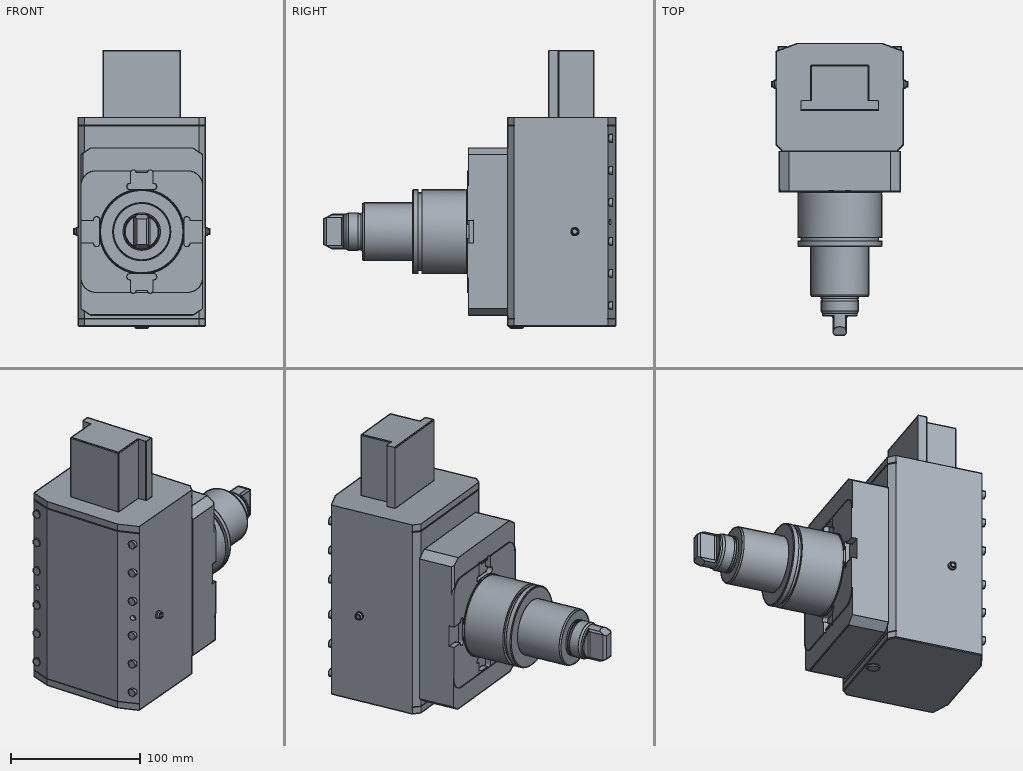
import cadquery as cq
import math


housing_width = 98.5
housing_depth = 83.6
housing_top = 88.4
housing_bottom = -73.5
front_chamfer = 5.0
back_chamfer_x = 16.3
back_chamfer_y = 6.0
bottom_edge_break = 0.7
cap_thickness = 6.0
joint_depth = 0.2
top_joint_height = 0.7
bottom_joint_height = 0.2

block_top = 140.3
block_front = 31.6
flange_width = 59.7
flange_thickness = 8.0
stem_width = 45.2
stem_depth = 27.3
block_edge_break = 0.7

plate_width = 94.0
plate_height = 129.7
plate_thickness = 30.5
plate_chamfer_x = 7.7
plate_chamfer_z = 5.2
plate_edge_break = 0.7
side_bevel = 1.5
pad_thickness = 0.7
pad_corner_radius = 11.3

keyway_half_width = 8.7
keyway_inner = 32.5
keyway_depth = 4.5
inner_relief_radius = 2.37
inner_relief_offset = 9.3
closed_keyway_outer = 45.7
outer_relief_radius = 2.1

recess_diameter = 66.0
recess_depth = 1.1

body_diameter = 65.0
relief_diameter = 64.6
groove_diameter = 60.3
nose_diameter = 45.0
collar_diameter = 29.0
neck_diameter = 27.0
base_ring_end = 31.9
base_relief_end = 32.8
body_start = 33.7
groove_start = 66.5
groove_end = 69.4
body_end = 73.7
nose_end = 112.3
collar_ring_end = 113.7
collar_start = 115.7
collar_end = 123.5
pilot_start = 125.2
pilot_end = 127.5
edge_chamfer = 0.7
nose_chamfer_length = 1.4

tip = 142.4
tang_width = 10.6
tang_side_half_height = 10.8
tang_crown_half_width = 4.3
tip_half_width = 3.6
tip_half_height = 10.0
side_taper_length = 2.0
end_taper_length = 6.8
root_flare_width = 1.0
root_flare_length = 1.1

screw_diameter = 6.3
screw_x = 44.5
screw_head_back = 81.1
screw_root_back = 74.5
screw_pitch = 24.9
screw_group_gap = 30.0
screws_per_group = 3
back_hole_diameter = 4.0
back_hole_floor = 75.7

nipple_y = 52.0
overall_width = 105.5
nipple_base_radius = 3.2
nipple_neck_radius = 1.7
nipple_head_radius = 2.3
nipple_base_length = 1.4
nipple_head_length = 1.0
nipple_embed = 2.3
plug_diameter = 10.6
plug_y = 6.8
plug_height = 1.5
plug_chamfer = 1.0

housing_middle = (housing_top + housing_bottom) / 2
pad_size = plate_width
pad_face = plate_thickness + pad_thickness


def front_plane(y):
    """Plane at the given Y whose normal points to -Y, with local axes X and Z."""
    return cq.Workplane("XZ", origin=(0, y, 0))


def housing_prism(bottom, top, inset=0.0):
    """Housing cross-section as a prism; inset pulls in the ends and corners but not the sides."""
    half = housing_width / 2
    chamfer = front_chamfer + inset
    front = inset
    back = housing_depth - inset
    right_side = [
        (half - chamfer, front),
        (half, front + chamfer),
        (half, back - back_chamfer_y),
        (half - back_chamfer_x, back),
    ]
    left_side = [(-x, y) for x, y in reversed(right_side)]
    outline = cq.Workplane("XY", origin=(0, 0, bottom)).polyline(right_side + left_side).close()
    return outline.extrude(top - bottom)


def joint_groove(center, height):
    """Shallow groove where an end cap meets the housing body."""
    low = center - height / 2
    high = center + height / 2
    return housing_prism(low, high).cut(housing_prism(low, high, joint_depth))


def make_housing():
    housing = housing_prism(housing_bottom, housing_top)
    housing = housing.faces("<Z").chamfer(bottom_edge_break)
    housing = housing.cut(joint_groove(housing_top - cap_thickness, top_joint_height))
    return housing.cut(joint_groove(housing_bottom + cap_thickness, bottom_joint_height))


def make_block():
    height = block_top - housing_top
    flange_back = block_front + flange_thickness
    flange_middle = block_front + flange_thickness / 2
    base = cq.Workplane("XY", origin=(0, 0, housing_top))
    flange = base.center(0, flange_middle).rect(flange_width, flange_thickness).extrude(height)
    flange = flange.edges("|Z and >Y").chamfer(block_edge_break)
    flange = flange.edges(">Z and <Y").chamfer(block_edge_break)
    stem = base.center(0, flange_back + stem_depth / 2).rect(stem_width, stem_depth).extrude(height)
    stem = stem.edges("|Z and >Y").chamfer(block_edge_break)
    stem = stem.faces(">Z").edges("not <Y").chamfer(block_edge_break)
    return flange.union(stem)


def make_plate():
    half_x = plate_width / 2
    half_z = plate_height / 2
    corner_x = half_x - plate_chamfer_x
    corner_z = half_z - plate_chamfer_z
    outline = [
        (-half_x, -corner_z),
        (-corner_x, -half_z),
        (corner_x, -half_z),
        (half_x, -corner_z),
        (half_x, corner_z),
        (corner_x, half_z),
        (-corner_x, half_z),
        (-half_x, corner_z),
    ]
    plate = front_plane(0).polyline(outline).close().extrude(plate_thickness)
    plate = plate.edges("<Y and <Z").chamfer(plate_edge_break)
    bevel_triangle = [
        (-half_x, -plate_thickness),
        (-half_x + side_bevel, -plate_thickness),
        (-half_x, -plate_thickness + side_bevel),
    ]
    bevel = cq.Workplane("XY").polyline(bevel_triangle).close().extrude(half_z)
    pad_base = plate_thickness - side_bevel
    pad = front_plane(-pad_base).rect(pad_size, pad_size).extrude(pad_face - pad_base)
    pad = pad.edges("|Y").fillet(pad_corner_radius)
    return plate.cut(bevel).union(pad)


def keyway(outer):
    """Keyway running up from the spindle to the given radius, with round inner corner reliefs."""
    floor = front_plane(keyway_depth - pad_face)
    middle = (keyway_inner + outer) / 2
    cutter = floor.center(0, middle).rect(2 * keyway_half_width, outer - keyway_inner).extrude(keyway_depth)
    relief_center = keyway_inner + inner_relief_radius
    relief_width = 2 * inner_relief_radius
    slot_length = 2 * (inner_relief_offset + inner_relief_radius)
    reliefs = floor.center(0, relief_center).slot2D(slot_length, relief_width).extrude(keyway_depth)
    return cutter.union(reliefs)


def closed_keyway():
    """Keyway that ends inside the plate, with round outer corner reliefs."""
    relief_x = keyway_half_width - outer_relief_radius
    reliefs = (
        front_plane(keyway_depth - pad_face)
        .pushPoints([(-relief_x, closed_keyway_outer), (relief_x, closed_keyway_outer)])
        .circle(outer_relief_radius)
        .extrude(keyway_depth)
    )
    return keyway(closed_keyway_outer).union(reliefs)


def cut_keyways(plate):
    open_cutter = keyway(plate_width / 2)
    closed_cutter = closed_keyway()
    for angle in (0, 180):
        plate = plate.cut(closed_cutter.rotate((0, 0, 0), (0, 1, 0), angle))
        plate = plate.cut(open_cutter.rotate((0, 0, 0), (0, 1, 0), angle + 90))
    return plate


def make_recess():
    base = front_plane(recess_depth - pad_face)
    return base.circle(recess_diameter / 2).extrude(recess_depth)


def make_spindle():
    body = body_diameter / 2
    relief = relief_diameter / 2
    groove = groove_diameter / 2
    nose = nose_diameter / 2
    collar = collar_diameter / 2
    neck = neck_diameter / 2
    profile = [
        (0, 0),
        (body, 0),
        (body, base_ring_end),
        (relief, base_ring_end),
        (relief, base_relief_end),
        (body, body_start),
        (body, groove_start),
        (groove, groove_start),
        (groove, groove_end),
        (body, groove_end),
        (body, body_end - edge_chamfer),
        (body - edge_chamfer, body_end),
        (nose, body_end),
        (nose, nose_end - nose_chamfer_length),
        (nose - edge_chamfer, nose_end),
        (collar, nose_end),
        (collar, collar_ring_end),
        (neck, collar_ring_end),
        (collar, collar_start),
        (collar, collar_end),
        (neck, pilot_start),
        (neck, pilot_end - edge_chamfer),
        (neck - edge_chamfer, pilot_end),
        (0, pilot_end),
    ]
    points = [(radius, -distance) for radius, distance in profile]
    return cq.Workplane("XY").polyline(points).close().revolve(360, (0, 0), (0, 1))


def tapered_outline(plane, half_size, tip_half_size, taper_length):
    """Prism along the spindle axis that narrows over the last stretch before the tip."""
    shoulder = taper_length - tip
    points = [
        (half_size, -pilot_start),
        (half_size, shoulder),
        (tip_half_size, -tip),
        (-tip_half_size, -tip),
        (-half_size, shoulder),
        (-half_size, -pilot_start),
    ]
    return cq.Workplane(plane).polyline(points).close().extrude(neck_diameter, both=True)


def make_tang():
    """Flat-sided tang with bevelled, crowned ends, tapered at the tip and flared at the root."""
    half_width = tang_width / 2
    crown = neck_diameter / 2
    crown_edge = math.sqrt(crown**2 - tang_crown_half_width**2)
    tang = (
        front_plane(-pilot_start)
        .moveTo(-half_width, -tang_side_half_height)
        .lineTo(-tang_crown_half_width, -crown_edge)
        .threePointArc((0, -crown), (tang_crown_half_width, -crown_edge))
        .lineTo(half_width, -tang_side_half_height)
        .lineTo(half_width, tang_side_half_height)
        .lineTo(tang_crown_half_width, crown_edge)
        .threePointArc((0, crown), (-tang_crown_half_width, crown_edge))
        .lineTo(-half_width, tang_side_half_height)
        .close()
        .extrude(tip - pilot_start)
    )
    tang = tang.intersect(tapered_outline("XY", half_width, tip_half_width, side_taper_length))
    tang = tang.intersect(tapered_outline("ZY", crown, tip_half_height, end_taper_length))
    root_outline = [
        (-half_width - root_flare_width, -pilot_end),
        (half_width + root_flare_width, -pilot_end),
        (half_width, -pilot_end - root_flare_length),
        (-half_width, -pilot_end - root_flare_length),
    ]
    root = cq.Workplane("XY").polyline(root_outline).close().extrude(tang_side_half_height, both=True)
    return tang.union(root)


def back_points(heights):
    """X and Z positions on both back chamfers at the given heights."""
    return [(side * screw_x, z) for side in (-1, 1) for z in heights]


def make_back_screws():
    offsets = [screw_group_gap / 2 + i * screw_pitch for i in range(screws_per_group)]
    heights = [housing_middle + side * offset for side in (-1, 1) for offset in offsets]
    base = front_plane(screw_head_back).pushPoints(back_points(heights))
    return base.circle(screw_diameter / 2).extrude(screw_head_back - screw_root_back)


def make_back_holes():
    base = front_plane(housing_depth).pushPoints(back_points([housing_middle]))
    return base.circle(back_hole_diameter / 2).extrude(housing_depth - back_hole_floor)


def make_nipple():
    """Grease nipple on the +X side of the housing."""
    root = housing_width / 2
    end = overall_width / 2
    base_end = root + nipple_base_length
    head_start = end - nipple_head_length
    profile = [
        (root - nipple_embed, 0),
        (root - nipple_embed, nipple_base_radius),
        (base_end, nipple_base_radius),
        (head_start, nipple_neck_radius),
        (head_start, nipple_head_radius),
        (end, nipple_head_radius),
        (end, 0),
    ]
    outline = cq.Workplane("XY", origin=(0, nipple_y, 0)).polyline(profile).close()
    return outline.revolve(360, (0, 0), (1, 0))


def make_plug():
    base = cq.Workplane("XY", origin=(0, plug_y, housing_bottom - plug_height))
    plug = base.circle(plug_diameter / 2).extrude(2 * plug_height)
    return plug.faces("<Z").chamfer(plug_chamfer)


nipple = make_nipple()

result = (
    make_housing()
    .cut(make_back_holes())
    .union(make_block())
    .union(cut_keyways(make_plate()).cut(make_recess()))
    .union(make_spindle())
    .union(make_tang())
    .union(make_back_screws())
    .union(nipple)
    .union(nipple.mirror("YZ"))
    .union(make_plug())
)